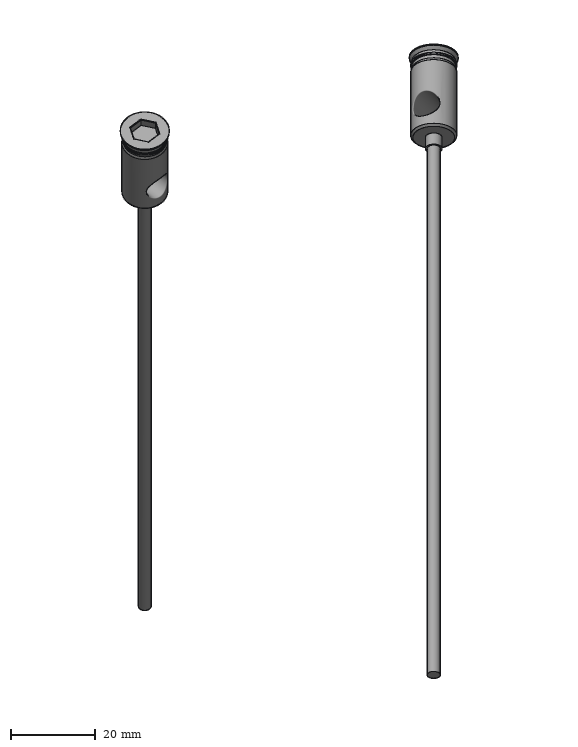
import cadquery as cq
import math

total_length = 172.5
rod_diameter = 3.1
rod_radius = rod_diameter / 2
collar_diameter = 4.0
collar_radius = collar_diameter / 2
collar_bottom_depth = 25.5

rim_diameter = 11.5
rim_radius = rim_diameter / 2
rim_thickness = 0.3
rim_taper_depth = 1.2
body_diameter = 10.9
body_radius = body_diameter / 2
groove_radius = 5.2
ring_top_depth = 2.0
ring_bottom_depth = 2.6
shoulder_depth = 4.1
shoulder_height = 0.7
head_bottom_depth = 22.5
bottom_chamfer = 0.5

cross_hole_diameter = 6.7
cross_hole_radius = cross_hole_diameter / 2
cross_hole_fillet = 0.2
cross_hole_depth = 16.0
socket_across_flats = 6.0
socket_chamfer = 0.2
socket_depth = 2.0


def make_turned_body():
    """Revolve the rod, collar and grooved head about Z, with the rod end at Z = 0."""
    radius_and_depth = [
        (0, total_length),
        (rod_radius, total_length),
        (rod_radius, collar_bottom_depth),
        (collar_radius, collar_bottom_depth),
        (collar_radius, head_bottom_depth),
        (body_radius - bottom_chamfer, head_bottom_depth),
        (body_radius, head_bottom_depth - bottom_chamfer),
        (body_radius, shoulder_depth),
        (groove_radius, shoulder_depth - shoulder_height),
        (groove_radius, ring_bottom_depth),
        (body_radius, ring_bottom_depth),
        (body_radius, ring_top_depth),
        (groove_radius, ring_top_depth),
        (groove_radius, rim_taper_depth),
        (rim_radius, rim_thickness),
        (rim_radius, 0),
        (0, 0),
    ]
    profile = [(radius, total_length - depth) for radius, depth in radius_and_depth]
    return cq.Workplane("XZ").polyline(profile).close().revolve(360, (0, 0), (0, 1))


def make_cross_hole():
    """Cylinder along X that passes right through the head."""
    return (
        cq.Workplane("YZ")
        .center(0, total_length - cross_hole_depth)
        .circle(cross_hole_radius)
        .extrude(rim_radius, both=True)
    )


def hexagon_on_top(across_flats):
    """Hexagon outline in the top face, with its flats facing +X and -X."""
    across_corners = across_flats / math.cos(math.pi / 6)
    return (
        cq.Workplane("XY", origin=(0, 0, total_length))
        .transformed(rotate=(0, 0, 90))
        .polygon(6, across_corners)
    )


def make_socket():
    """Blind hexagonal socket with a 45 degree chamfer around its mouth."""
    socket = hexagon_on_top(socket_across_flats).extrude(-socket_depth)
    mouth = hexagon_on_top(socket_across_flats + 2 * socket_chamfer).extrude(-socket_chamfer, taper=45)
    return socket.union(mouth)


def round_cross_hole(body):
    """Round both mouths of the cross hole."""
    mouth = cq.selectors.BoxSelector(
        (-rim_radius, -rim_radius, total_length - cross_hole_depth - body_radius),
        (rim_radius, rim_radius, total_length - cross_hole_depth + body_radius),
    )
    return body.edges(mouth).edges("not %CIRCLE").edges("not %LINE").fillet(cross_hole_fillet)


drilled_body = make_turned_body().cut(make_cross_hole())
result = round_cross_hole(drilled_body).cut(make_socket())